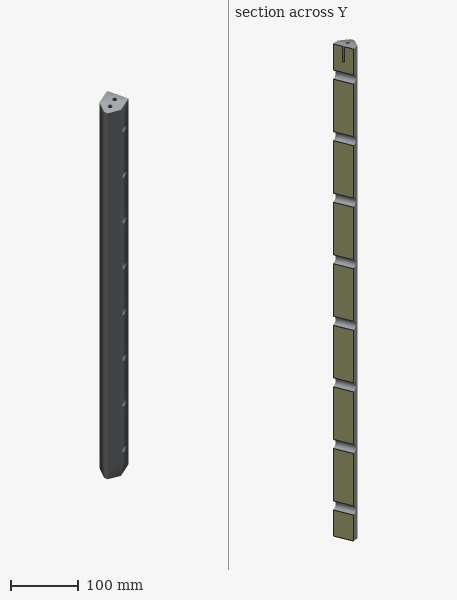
import cadquery as cq
import math

length = 800.0
width = 35.0
depth = 40.0
nose_width = 6.0
flank_depth = (width - nose_width) / 2

cross_hole_diameter = 14.0
cross_hole_from_back = 14.0
cross_hole_pitch = 100.0
cross_hole_count = 8
first_cross_hole_z = (length - (cross_hole_count - 1) * cross_hole_pitch) / 2

end_hole_diameter = 6.8
end_hole_depth = 25.0
drill_point_angle = 118.0
end_holes_from_back = (10.5, 26.0)

back_y = depth / 2
nose_y = -depth / 2
shoulder_y = nose_y + flank_depth


def rail_body():
    outline = [
        (-width / 2, back_y),
        (-width / 2, shoulder_y),
        (-nose_width / 2, nose_y),
        (nose_width / 2, nose_y),
        (width / 2, shoulder_y),
        (width / 2, back_y),
    ]
    return cq.Workplane("XY").polyline(outline).close().extrude(length)


def cross_hole(z):
    start = cq.Vector(-width / 2, back_y - cross_hole_from_back, z)
    hole = cq.Solid.makeCylinder(cross_hole_diameter / 2, width, start, cq.Vector(1, 0, 0))
    return cq.Workplane(hole)


def end_hole(from_back):
    """Revolve half of the drill profile about the hole's axis."""
    radius = end_hole_diameter / 2
    point_height = radius / math.tan(math.radians(drill_point_angle / 2))
    half_profile = [
        (0, 0),
        (radius, 0),
        (radius, -end_hole_depth),
        (0, -end_hole_depth - point_height),
    ]
    hole = cq.Workplane("XZ").polyline(half_profile).close().revolve(360, (0, 0), (0, 1))
    return hole.translate((0, back_y - from_back, length))


result = rail_body()

for index in range(cross_hole_count):
    result = result.cut(cross_hole(first_cross_hole_z + index * cross_hole_pitch))

for from_back in end_holes_from_back:
    result = result.cut(end_hole(from_back))